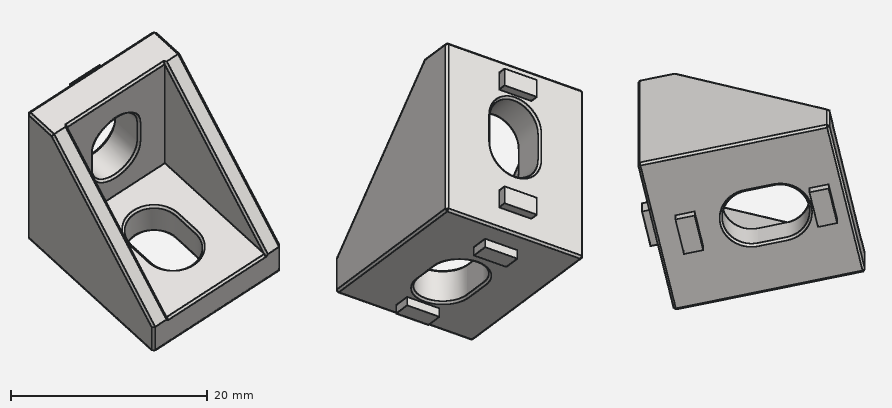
import cadquery as cq
import math

leg_length = 20.0
body_width = 17.0
leg_thickness = 4.0
side_wall = 2.0
edge_chamfer = 0.25
chamfer_angle = 45.0

slot_length = 9.0
slot_width = 6.0
slot_center = 11.5

tab_height = 1.0
tab_length = 2.0
tab_width = 4.0
tab_centers = (3.5, 17.5)

pocket_width = body_width - 2 * side_wall
half_width = body_width / 2


def swap_legs(shape):
    """Return the shape with X and Z exchanged, moving it from one leg to the other."""
    upright = shape.rotate((0, 0, 0), (0, 1, 0), 90)
    return upright.mirror("XY")


def make_body():
    """Triangular block, chamfered except where the slope meets the leg ends."""
    block = (
        cq.Workplane("XZ")
        .moveTo(0, 0)
        .lineTo(leg_length, 0)
        .lineTo(leg_length, leg_thickness)
        .lineTo(leg_thickness, leg_length)
        .lineTo(0, leg_length)
        .close()
        .extrude(half_width, both=True)
    )
    square_corners = "(<X and <Z) or (<X and >Z) or (>X and <Z)"
    return block.edges(f"(not |Y) or (|Y and ({square_corners}))").chamfer(edge_chamfer)


def cut_pocket(body):
    """Open the space between the legs and chamfer its rim."""
    reach = leg_length - leg_thickness
    pocket = cq.Workplane("XY").box(reach, pocket_width, reach, centered=(False, True, False))
    opened = body.cut(pocket.translate((leg_thickness, 0, leg_thickness)))
    leg_wedge = make_leg_rim_wedge()
    wall_wedge = make_wall_rim_wedge()
    opened = opened.cut(leg_wedge).cut(swap_legs(leg_wedge))
    return opened.cut(wall_wedge).cut(wall_wedge.mirror("XZ"))


def make_leg_rim_wedge():
    """Rim chamfer on the upright leg's end, at 45 degrees and so parallel to the slope."""
    depth_below_slope = edge_chamfer / math.sqrt(2)
    half_span = pocket_width / 2 + edge_chamfer - depth_below_slope
    return (
        cq.Workplane("XZ")
        .moveTo(leg_thickness - edge_chamfer, leg_length)
        .lineTo(leg_thickness, leg_length)
        .lineTo(leg_thickness, leg_length - edge_chamfer)
        .close()
        .extrude(half_span, both=True)
    )


def make_wall_rim_wedge():
    """Rim chamfer on the +Y side wall, running down the slope between the leg chamfers."""
    slope_middle = (leg_length + leg_thickness) / 2
    across_slope = cq.Plane((slope_middle, 0, slope_middle), (0, 1, 0), (1, 0, -1))
    wedge = (
        cq.Workplane(across_slope)
        .moveTo(pocket_width / 2, 0)
        .lineTo(pocket_width / 2 + edge_chamfer, 0)
        .lineTo(pocket_width / 2, -edge_chamfer)
        .close()
        .extrude(leg_length, both=True)
    )
    limit_start = leg_thickness - edge_chamfer
    limit_size = leg_length - limit_start
    limit = cq.Workplane("XY").box(limit_size, body_width, limit_size, centered=(False, True, False))
    return wedge.intersect(limit.translate((limit_start, 0, limit_start)))


def make_slot_cutter():
    """Vertical slot through the bottom leg, flared by a chamfer at both mouths."""
    slot = (
        cq.Workplane("XY")
        .center(slot_center, 0)
        .slot2D(slot_length, slot_width)
        .extrude(leg_thickness)
    )
    flare_length = slot_length + 2 * edge_chamfer
    flare_width = slot_width + 2 * edge_chamfer
    flare = (
        cq.Workplane("XY")
        .center(slot_center, 0)
        .slot2D(flare_length, flare_width)
        .extrude(edge_chamfer, taper=chamfer_angle)
    )
    leg_middle = (0, 0, leg_thickness / 2)
    return slot.union(flare).union(flare.mirror("XY", leg_middle))


def make_tab(center):
    """Locating tab under the bottom leg."""
    tab = cq.Workplane("XY").box(tab_length, tab_width, tab_height)
    return tab.translate((center, 0, -tab_height / 2))


slot_cutter = make_slot_cutter()
result = cut_pocket(make_body()).cut(slot_cutter).cut(swap_legs(slot_cutter))
for tab_center in tab_centers:
    bottom_tab = make_tab(tab_center)
    result = result.union(bottom_tab).union(swap_legs(bottom_tab))